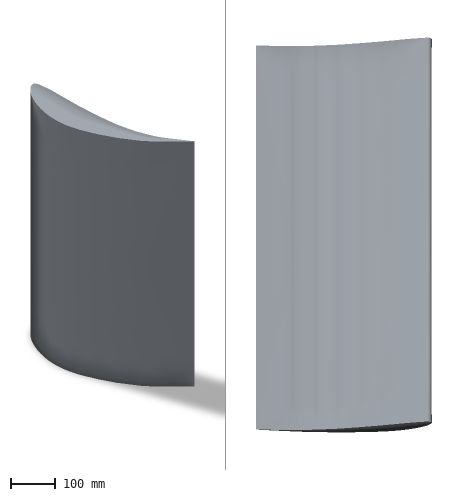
import cadquery as cq

chord = 398.49
rise = 87.38
span = 880.0
tail_thickness = 1.4
nose_height = 66.0

toward_belly = (0.0, -1.0)
toward_back = (0.0, 1.0)

nose = (0.0, nose_height)
tail_top = (chord, rise)
tail_bottom = (chord, rise - tail_thickness)

belly_points = [
    (4.0, 54.2),
    (18.0, 36.9),
    (45.0, 18.4),
    (80.0, 5.2),
    (118.0, 0.1),
    (170.0, 4.0),
    (230.0, 16.3),
    (300.0, 38.6),
    (350.0, 61.8),
]

hollow_points = [
    (3.0, 75.0),
    (10.0, 77.0),
    (25.0, 76.8),
    (60.0, 72.8),
    (110.0, 63.8),
    (165.0, 56.6),
    (220.0, 52.4),
    (270.0, 54.2),
    (320.0, 62.4),
    (360.0, 74.8),
]


def section_side(points, end, nose_tangent):
    """Smooth curve from the nose through the points to one corner of the tail."""
    vectors = [cq.Vector(*point) for point in [nose, *points, end]]
    tangents = [cq.Vector(*nose_tangent)] + [None] * (len(vectors) - 1)
    return cq.Edge.makeSpline(vectors, tangents=tangents, scale=False)


def blade_section():
    """Closed outline of the cambered section: belly, blunt tail and hollow side."""
    belly = section_side(belly_points, tail_bottom, toward_belly)
    hollow = section_side(hollow_points, tail_top, toward_back)
    tail = cq.Edge.makeLine(cq.Vector(*tail_bottom), cq.Vector(*tail_top))
    return cq.Wire.assembleEdges([belly, tail, hollow])


result = cq.Workplane("XY").add(blade_section()).toPending().extrude(span)